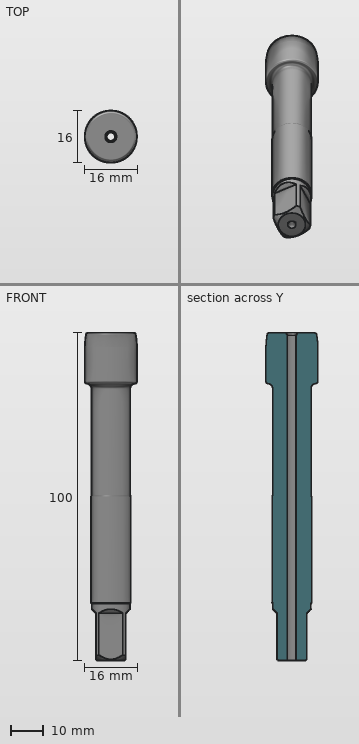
import cadquery as cq
import math

length = 100.0
head_radius = 16.0 / 2
head_bottom = 85.2
head_edge_radius = 0.8
blend_bottom = 83.0
crown_start = 95.7
crown_arc_radius = 18.0
top_round = 0.7

neck_radius = 11.9 / 2
body_radius = 12.2 / 2
body_top = 50.0
body_top_taper = 0.5
body_bottom = 17.4
tip_radius = 11.7 / 2

square_width = 9.1
square_height = 14.4
end_chamfer = 1.7

hole_diameter = 2.5
countersink_diameter = 3.5
countersink_angle = 60


def crown_drop(height):
    """Loss of head radius at a height above the start of the crown."""
    return crown_arc_radius - math.sqrt(crown_arc_radius**2 - height**2)


def make_turned_body():
    """Revolve the half profile about Z."""
    blend_width = head_radius - neck_radius
    blend_height = head_bottom - blend_bottom
    radius_sum = (blend_width**2 + blend_height**2) / (2 * blend_width)
    blend_radius = radius_sum - head_edge_radius
    share = blend_radius / radius_sum
    blend_middle = (neck_radius + share * blend_width, blend_bottom + share * blend_height)

    crown_end = length - top_round
    crown_height = crown_end - crown_start
    crown_end_radius = head_radius - crown_drop(crown_height)
    crown_middle = (head_radius - crown_drop(crown_height / 2), crown_start + crown_height / 2)

    return (
        cq.Workplane("XZ")
        .lineTo(tip_radius - end_chamfer, 0)
        .lineTo(tip_radius, end_chamfer)
        .lineTo(tip_radius, body_bottom)
        .lineTo(body_radius, body_bottom + body_radius - tip_radius)
        .lineTo(body_radius, body_top)
        .lineTo(neck_radius, body_top + body_top_taper)
        .lineTo(neck_radius, blend_bottom)
        .radiusArc(blend_middle, blend_radius)
        .radiusArc((head_radius, head_bottom), -head_edge_radius)
        .lineTo(head_radius, crown_start)
        .threePointArc(crown_middle, (crown_end_radius, crown_end))
        .radiusArc((crown_end_radius - top_round, length), -top_round)
        .lineTo(0, length)
        .close()
        .revolve(360, (0, 0, 0), (0, 1, 0))
    )


def make_flat_cutter():
    """Block that cuts one flat on the +X side, ending in a 45 degree ramp."""
    flat = square_width / 2
    reach = body_radius - flat
    return (
        cq.Workplane("XZ")
        .moveTo(flat, 0)
        .lineTo(flat + reach, 0)
        .lineTo(flat + reach, square_height + reach)
        .lineTo(flat, square_height)
        .close()
        .extrude(body_radius, both=True)
    )


result = make_turned_body()

flat_cutter = make_flat_cutter()
for quarter in range(4):
    result = result.cut(flat_cutter.rotate((0, 0, 0), (0, 0, 1), 90 * quarter))

result = (
    result.faces(">Z")
    .workplane(origin=(0, 0, length))
    .cskHole(hole_diameter, countersink_diameter, countersink_angle)
)